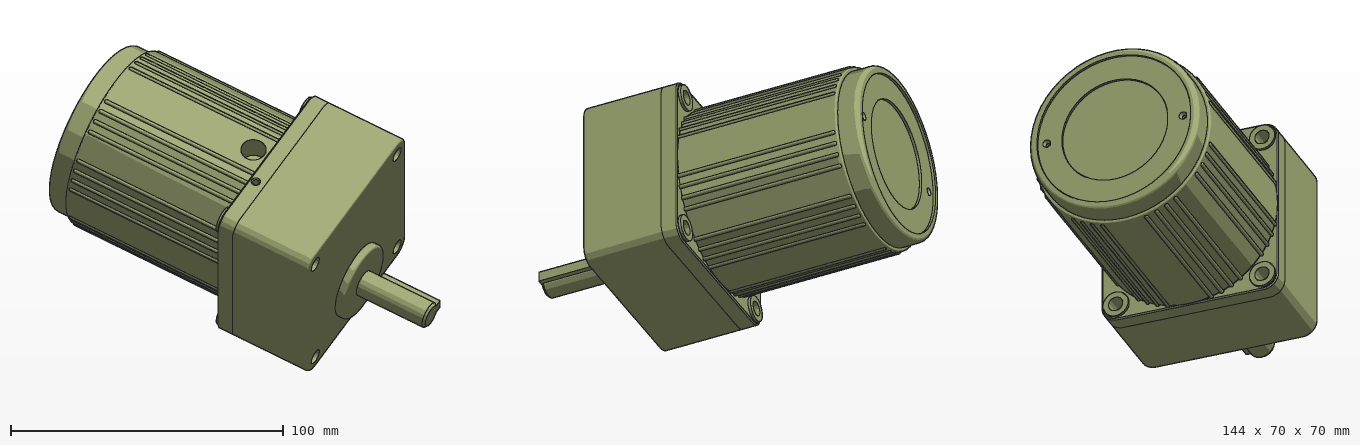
import cadquery as cq
import math


cap_length = 8.5
flange_start = 73.5
flange_end = 80.0
gearbox_end = 112.0
hub_end = 115.0
shaft_end = 144.0

cap_radius = 33.65
cap_fillet = 1.8
outer_recess_radius = 30.5
inner_recess_radius = 21.0
recess_depth = 1.0
cap_hole_offset = 27.0
cap_hole_diameter = 1.7
cap_hole_mouth = 3.0
cap_hole_taper_depth = 1.5
cap_hole_depth = 3.0

frame_size = 70.0
shell_radius = frame_size / 2
shell_fillet = 0.5
rib_radius = 0.8
rib_inset = 0.2
rib_end_fillet = 0.7
rib_start = cap_length + 1.0
ribs_per_group = 4
rib_pitch_angle = 7.0
rib_group_angle = 24.85
cable_hole_diameter = 9.2
cable_hole_x = 68.0
cable_hole_depth = 10.0

corner_radius = 6.0
flange_chamfer = 0.5
mount_hole_offset = 29.0
mount_hole_diameter = 5.6
pad_diameter = 10.0
pad_height = 1.0
ground_hole_x = 76.2
ground_hole_y = -12.0
ground_hole_diameter = 2.5
ground_hole_mouth = 3.4
ground_hole_taper_depth = (ground_hole_mouth - ground_hole_diameter) / 2
ground_hole_depth = 4.0
drill_tip_angle = 118.0

gearbox_fillet = 1.0
axis_offset = -15.0
hub_radius = 15.0
hub_fillet = 1.2
shaft_radius = 5.0
shaft_chamfer = 0.9
key_width = 4.0
key_length = 25.0
key_top = shaft_radius + 1.5


def cross_section(x):
    """Workplane facing +X at the given X, with local axes along Y and Z."""
    return cq.Workplane("YZ", origin=(x, 0, 0))


def cylinder(start, end, radius):
    return cross_section(start).circle(radius).extrude(end - start)


def square_block(start, end):
    block = cross_section(start).rect(frame_size, frame_size).extrude(end - start)
    return block.edges("|X").fillet(corner_radius)


def at_mount_corners(x):
    spacing = 2 * mount_hole_offset
    return cross_section(x).rect(spacing, spacing, forConstruction=True).vertices()


def mount_holes():
    margin = 1.0
    length = gearbox_end - flange_start + 2 * margin
    return at_mount_corners(flange_start - margin).circle(mount_hole_diameter / 2).extrude(length)


def tapered_hole(diameter, mouth, taper_depth, depth, tip_depth):
    """Cutter pointing down from the origin, with a conical mouth and an optional drill tip."""
    radius = diameter / 2
    profile = cq.Workplane("XZ").lineTo(mouth / 2, 0).lineTo(radius, -taper_depth)
    profile = profile.lineTo(radius, -depth).lineTo(0, -depth - tip_depth).close()
    return profile.revolve(360, (0, 0, 0), (0, 1, 0))


def end_cap():
    cap = cylinder(0, cap_length, cap_radius).faces("<X").edges().fillet(cap_fillet)
    cap = cap.cut(cylinder(0, recess_depth, outer_recess_radius))
    cap = cap.cut(cylinder(recess_depth, 2 * recess_depth, inner_recess_radius))
    hole = tapered_hole(cap_hole_diameter, cap_hole_mouth, cap_hole_taper_depth, cap_hole_depth, 0)
    hole = hole.rotate((0, 0, 0), (0, 1, 0), -90)
    for y in (-cap_hole_offset, cap_hole_offset):
        cap = cap.cut(hole.translate((recess_depth, y, 0)))
    return cap


def rib_angles():
    """Rib directions in degrees: one group of ribs on each side of the four half axes."""
    first = rib_group_angle - rib_pitch_angle * (ribs_per_group - 1) / 2
    angles = []
    for axis_angle in (0, 90, 180, 270):
        for index in range(ribs_per_group):
            angle = first + index * rib_pitch_angle
            angles.extend([axis_angle + angle, axis_angle - angle])
    return angles


def shell():
    body = cylinder(cap_length, flange_start, shell_radius).edges().fillet(shell_fillet)
    rib = cylinder(rib_start, flange_start, rib_radius).faces("<X").edges().fillet(rib_end_fillet)
    rib = rib.translate((0, shell_radius - rib_inset, 0))
    for angle in rib_angles():
        body = body.union(rib.rotate((0, 0, 0), (1, 0, 0), angle))
    return body


def flange():
    plate = square_block(flange_start, flange_end).faces("<X").chamfer(flange_chamfer)
    pads = at_mount_corners(flange_start - pad_height).circle(pad_diameter / 2).extrude(pad_height)
    return plate.union(pads)


def make_motor():
    motor = shell().union(end_cap()).union(flange())
    cable_hole = cq.Workplane("XY", origin=(cable_hole_x, 0, shell_radius))
    motor = motor.cut(cable_hole.circle(cable_hole_diameter / 2).extrude(-cable_hole_depth))
    tip_depth = ground_hole_diameter / 2 / math.tan(math.radians(drill_tip_angle / 2))
    ground_hole = tapered_hole(
        ground_hole_diameter, ground_hole_mouth, ground_hole_taper_depth, ground_hole_depth, tip_depth
    )
    motor = motor.cut(ground_hole.translate((ground_hole_x, ground_hole_y, frame_size / 2)))
    return motor.cut(mount_holes())


def output_key():
    """Key on the +Y side of the shaft, rounded at the hub end and square at the shaft end."""
    start = shaft_end - key_length
    end_radius = key_width / 2
    profile = (
        cq.Workplane("XZ")
        .moveTo(shaft_end, -end_radius)
        .lineTo(start + end_radius, -end_radius)
        .threePointArc((start, 0), (start + end_radius, end_radius))
        .lineTo(shaft_end, end_radius)
        .close()
    )
    return profile.extrude(-key_top).translate((0, 0, axis_offset))


def make_gearbox():
    box = square_block(flange_end, gearbox_end).faces(">X").edges().fillet(gearbox_fillet)
    hub = cylinder(gearbox_end, hub_end, hub_radius).faces(">X").edges().fillet(hub_fillet)
    shaft = cylinder(gearbox_end, shaft_end, shaft_radius).faces(">X").chamfer(shaft_chamfer)
    output = hub.union(shaft).translate((0, 0, axis_offset))
    return box.union(output).union(output_key()).cut(mount_holes())


motor = make_motor()
gearbox = make_gearbox()

result = cq.Compound.makeCompound([motor.val(), gearbox.val()])